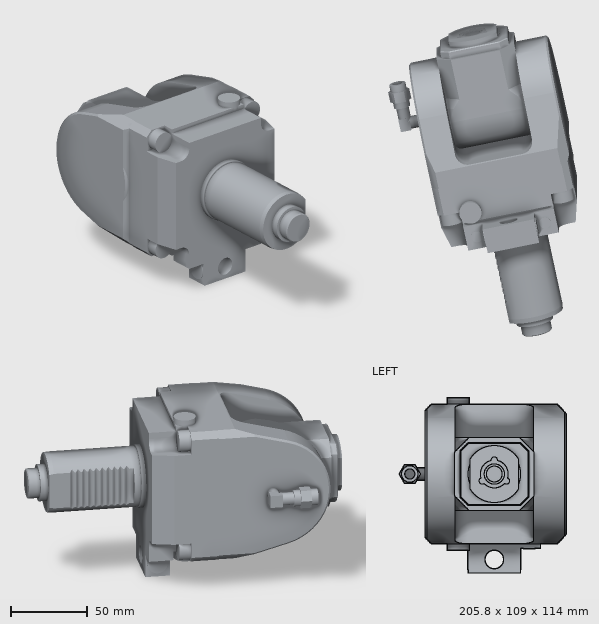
import cadquery as cq
import math


overshoot = 10.3
root_depth = 2.0
overall_length = 205.8

half_height = 45.5
half_width = 45.0
slope = math.radians(15)
body_chamfer = 4.1
flange_left = -18.0
flange_half_height = 42.4
side_taper_length = 14.2

nose_radius = 37.5
nose_x = -80.0
fork_front_y = -47.0
fork_right = -41.2
front_chamfer = 6.4
back_chamfer = 4.5
rim_chamfer = 1.2
raised_face_x = -47.7
raised_foot_x = -43.8
raised_disc_radius = 34.5
slot_end = -55.8
slot_half_width = 25.5
slot_corner_radius = 8.0

head_left = -121.5
head_half_width = 25.7
head_half_height = 23.9
head_chamfer = 9.5
head_chamfer_end = -94.5
run_out_x = -88.9
run_out_chamfer = 4.5
cover_left = -126.3
cover_half_width = 22.5
cover_half_height = 20.5
cover_corner = 5.5
cover_edge = 0.6
cap_left = -130.2
cap_radius = 18.5
cap_half_width = 15.8
seat_radius = 17.0
seat_height = 0.5
drive_radius = 9.0
drive_lobe_radius = 2.0
drive_step_radii = (6.5, 5.1)
drive_step = 0.2

collar_radius = 20.8
collar_length = 3.0
collar_round = 0.8
neck_radius = 19.5
neck_end = 4.0
shank_radius = 20.0
shank_end = 63.2
shank_tip_radius = 19.5
shank_tip_length = 3.0
stub_radius = 12.1
stub_end = 68.1
tang_radius = 9.9
tang_end = cap_left + overall_length
tang_chamfer = 0.6
flat_y = 15.8
flat_start = 7.5
tooth_count = 10
first_tooth_x = 12.0
last_tooth_x = 48.0
tooth_pitch = (last_tooth_x - first_tooth_x) / (tooth_count - 1)
tooth_width = 3.0
tooth_depth = 1.5

gutter_y = 36.8
gutter_z = 38.0
gutter_radius = 6.8
screw_seat_x = -25.5
screw_head_radius = 7.0
pin_x = -24.9
pin_y = 23.5
pin_radius = 7.2
pin_top = 49.5

bracket_left = -16.3
bracket_plate_bottom = -48.4
bracket_block_bottom = -64.5
bracket_half_width = 17.0
bracket_hole_radius = 6.0
bracket_hole_z = -55.5
knob_radius = 6.5
knob_height = 0.5
plug_radius = 3.7
plug_y = 22.6

pipe_radius = 4.1
elbow_x = -79.5
fitting_y = 55.0
elbow_bottom = 51.9
elbow_notch = 2.3
nut_left = -106.8
hex_left = -102.3
hex_right = -95.3
nut_right = -91.0
nut_radius = 5.3
hex_corner_radius = 7.0
bore_radius = 3.3


def box(x_range, y_range, z_range):
    """Axis-aligned block given by its limits."""
    size = [high - low for low, high in (x_range, y_range, z_range)]
    return cq.Workplane("XY").box(*size, centered=False).translate((x_range[0], y_range[0], z_range[0]))


def x_rod(radius, x_range, y=0, z=0):
    """Cylinder along X."""
    start, end = x_range
    return cq.Workplane("YZ", origin=(start, y, z)).circle(radius).extrude(end - start)


def make_base():
    """Block between fork and mounting face, stepped at the flange, with tapered sides."""
    sides = (-half_width, half_width)
    block = box((raised_foot_x, flange_left), sides, (-half_height, half_height))
    block = block.edges("|X").chamfer(body_chamfer)
    flange = box((flange_left, 0), sides, (-flange_half_height, flange_half_height))
    taper = side_taper_length * math.tan(slope)
    for side in (1, -1):
        wedge = cq.Workplane("XY").polyline([
            (-side_taper_length, side * half_width),
            (0, side * half_width),
            (0, side * (half_width - taper)),
        ]).close().extrude(half_height, both=True)
        flange = flange.cut(wedge)
    return block.union(flange)


def make_fork():
    """Round-nosed fork with the slot still closed."""
    tangent_x = nose_x - nose_radius * math.sin(slope)
    tangent_z = nose_radius * math.cos(slope)
    shoulder_x = tangent_x + (half_height - tangent_z) / math.tan(slope)
    fork = (
        cq.Workplane("XZ", origin=(0, half_width, 0))
        .moveTo(fork_right, half_height)
        .lineTo(shoulder_x, half_height)
        .lineTo(tangent_x, tangent_z)
        .threePointArc((nose_x - nose_radius, 0), (tangent_x, -tangent_z))
        .lineTo(shoulder_x, -half_height)
        .lineTo(fork_right, -half_height)
        .close()
        .extrude(half_width - fork_front_y)
        .faces("<Y or >Y").chamfer(rim_chamfer)
    )
    envelope = box(
        (nose_x - 2 * nose_radius, fork_right),
        (fork_front_y, half_width),
        (-half_height, half_height),
    )
    envelope = envelope.edges("|X and <Y").chamfer(front_chamfer).edges("|X and >Y").chamfer(back_chamfer)
    fork = fork.intersect(envelope)

    step = cq.Workplane("XY").polyline([
        (raised_face_x, fork_front_y),
        (raised_foot_x, -half_width),
        (fork_right + overshoot, -half_width),
        (fork_right + overshoot, fork_front_y - overshoot),
        (raised_face_x, fork_front_y - overshoot),
    ]).close().extrude(half_height + overshoot, both=True)
    disc_foot_radius = raised_foot_x - nose_x
    disc = (
        cq.Workplane("XZ", origin=(nose_x, -half_width, 0))
        .circle(disc_foot_radius)
        .workplane(offset=-half_width - fork_front_y)
        .circle(raised_disc_radius)
        .loft()
    )
    return fork.cut(step).union(disc)


def make_slot():
    """Vertical slot between the fork cheeks."""
    slot = box(
        (nose_x - 2 * nose_radius, slot_end),
        (-slot_half_width, slot_half_width),
        (-half_height - overshoot, half_height + overshoot),
    )
    return slot.edges("|Z and >X").fillet(slot_corner_radius)


def make_drive_recess():
    """Shallow three-lobed recess with two steps, sunk in the spindle cap."""
    recess = x_rod(drive_radius, (cap_left, cap_left + drive_step))
    for angle in (90, 210, 330):
        y = drive_radius * math.cos(math.radians(angle))
        z = drive_radius * math.sin(math.radians(angle))
        recess = recess.union(x_rod(drive_lobe_radius, (cap_left, cap_left + drive_step), y, z))
    for level, radius in enumerate(drive_step_radii, start=2):
        recess = recess.union(x_rod(radius, (cap_left, cap_left + level * drive_step)))
    return recess


def make_head():
    """Spindle head with a rounded back, run-out corner chamfers, cover plate and cap."""
    head = box(
        (head_left, nose_x),
        (-head_half_width, head_half_width),
        (-head_half_height, head_half_height),
    )
    back = (
        cq.Workplane("XZ", origin=(nose_x, 0, 0))
        .circle(head_half_height)
        .extrude(head_half_width, both=True)
    )
    head = head.union(back)

    corner_distance = (head_half_width + head_half_height) / math.sqrt(2)
    chamfer_distance = corner_distance - head_chamfer / math.sqrt(2)
    run_out_distance = corner_distance - run_out_chamfer / math.sqrt(2)
    corner_tool = cq.Workplane("XZ").polyline([
        (head_left - overshoot, chamfer_distance),
        (head_chamfer_end, chamfer_distance),
        (run_out_x, run_out_distance),
        (nose_x, corner_distance),
        (nose_x, corner_distance + overshoot),
        (head_left - overshoot, corner_distance + overshoot),
    ]).close().extrude(head_half_width, both=True)
    for angle in (45, 135, 225, 315):
        head = head.cut(corner_tool.rotate((0, 0, 0), (1, 0, 0), angle))

    cover = box(
        (cover_left, head_left),
        (-cover_half_width, cover_half_width),
        (-cover_half_height, cover_half_height),
    )
    cover = cover.edges("|X").chamfer(cover_corner).faces("<X").chamfer(cover_edge)
    cap_flats = box((cap_left, cover_left), (-cap_half_width, cap_half_width), (-cap_radius, cap_radius))
    cap = x_rod(cap_radius, (cap_left, cover_left)).intersect(cap_flats)
    seat = x_rod(seat_radius, (cover_left - seat_height, cover_left))
    return head.union(cover).union(seat).union(cap).cut(make_drive_recess())


def make_shank():
    """Round shank with collar, neck, stub and tang, and a toothed flat on its +Y side."""
    collar = x_rod(collar_radius, (0, collar_length)).faces(">X").edges().fillet(collar_round)
    shank = (
        cq.Workplane("XY")
        .moveTo(0, 0)
        .lineTo(0, neck_radius)
        .lineTo(neck_end, neck_radius)
        .lineTo(neck_end, shank_radius)
        .lineTo(shank_end - shank_tip_length, shank_radius)
        .lineTo(shank_end, shank_tip_radius)
        .lineTo(shank_end, stub_radius)
        .lineTo(stub_end, stub_radius)
        .lineTo(stub_end, tang_radius)
        .lineTo(tang_end - tang_chamfer, tang_radius)
        .lineTo(tang_end, tang_radius - tang_chamfer)
        .lineTo(tang_end, 0)
        .close()
        .revolve(360, (0, 0, 0), (1, 0, 0))
    )
    flat = box((flat_start, shank_end), (flat_y, shank_radius), (-shank_radius, shank_radius))
    shank = shank.cut(flat)
    for index in range(tooth_count):
        x = first_tooth_x + index * tooth_pitch
        groove = cq.Workplane("XY").polyline([
            (x - tooth_width / 2, flat_y),
            (x, flat_y - tooth_depth),
            (x + tooth_width / 2, flat_y),
        ]).close().extrude(shank_radius, both=True)
        shank = shank.cut(groove)
    return shank.union(collar)


def make_gutter(side_y, side_z):
    """Round-bottomed screw gutter that cuts away one body corner."""
    inner_y = gutter_y - gutter_radius
    inner_z = gutter_z - gutter_radius
    gutter = box(
        (screw_seat_x, overshoot),
        (inner_y, half_width + overshoot),
        (inner_z, half_height + overshoot),
    ).edges("|X and <Y and <Z").fillet(gutter_radius)
    if side_y < 0:
        gutter = gutter.mirror("XZ")
    if side_z < 0:
        gutter = gutter.mirror("XY")
    return gutter


def make_bracket():
    """Plate and drilled block hanging under the flange, with low knobs and plugs."""
    plate_half_width = gutter_y - gutter_radius
    middle_x = bracket_left / 2
    bracket = box(
        (bracket_left, 0),
        (-plate_half_width, plate_half_width),
        (bracket_plate_bottom, -flange_half_height),
    )
    block = box(
        (bracket_left, 0),
        (-bracket_half_width, bracket_half_width),
        (bracket_block_bottom, bracket_plate_bottom),
    )
    knobs = (
        cq.Workplane("XZ", origin=(middle_x, 0, bracket_hole_z))
        .circle(knob_radius)
        .extrude(bracket_half_width + knob_height, both=True)
    )
    plugs = (
        cq.Workplane("XY", origin=(middle_x, 0, bracket_plate_bottom - knob_height))
        .pushPoints([(0, -plug_y), (0, plug_y)])
        .circle(plug_radius)
        .extrude(knob_height)
    )
    bracket = bracket.union(block).union(knobs).union(plugs)
    return bracket.cut(x_rod(bracket_hole_radius, (bracket_left, 0), 0, bracket_hole_z))


def make_fitting():
    """Elbow pipe fitting with a hexagon nut."""
    elbow_right = elbow_x + pipe_radius
    riser = (
        cq.Workplane("XZ", origin=(elbow_x, half_width - root_depth, 0))
        .circle(pipe_radius)
        .extrude(-(fitting_y - half_width + root_depth))
    )
    run = x_rod(pipe_radius, (nut_right, elbow_x), fitting_y)
    elbow = box(
        (elbow_x - pipe_radius, elbow_right),
        (elbow_bottom, fitting_y + pipe_radius),
        (-pipe_radius, pipe_radius),
    )
    notch = box(
        (elbow_x - pipe_radius, elbow_x - pipe_radius + elbow_notch),
        (elbow_bottom, elbow_bottom + elbow_notch),
        (-pipe_radius, pipe_radius),
    )
    nut = x_rod(nut_radius, (nut_left, nut_right), fitting_y)
    hexagon = (
        cq.Workplane("YZ", origin=(hex_left, fitting_y, 0))
        .polygon(6, 2 * hex_corner_radius)
        .extrude(hex_right - hex_left)
    )
    bore = x_rod(bore_radius, (nut_left, nut_right), fitting_y)
    return elbow.cut(notch).union(riser).union(run).union(nut).union(hexagon).cut(bore)


def make_screw_head(side_y, side_z):
    """Cylindrical screw head seated at the end of one gutter."""
    return x_rod(screw_head_radius, (screw_seat_x, flange_left), side_y * gutter_y, side_z * gutter_z)


def make_pin(side_z):
    """Locating pin standing proud of the top (+1) or bottom (-1) of the body."""
    return (
        cq.Workplane("XY", origin=(pin_x, pin_y, side_z * (half_height - root_depth)))
        .circle(pin_radius)
        .extrude(side_z * (pin_top - half_height + root_depth))
    )


body = make_base().union(make_fork()).cut(make_slot())
for side_z in (1, -1):
    for side_y in (1, -1):
        body = body.cut(make_gutter(side_y, side_z)).union(make_screw_head(side_y, side_z))
    body = body.union(make_pin(side_z))

result = (
    body
    .union(make_head())
    .union(make_shank())
    .union(make_bracket())
    .union(make_fitting())
)